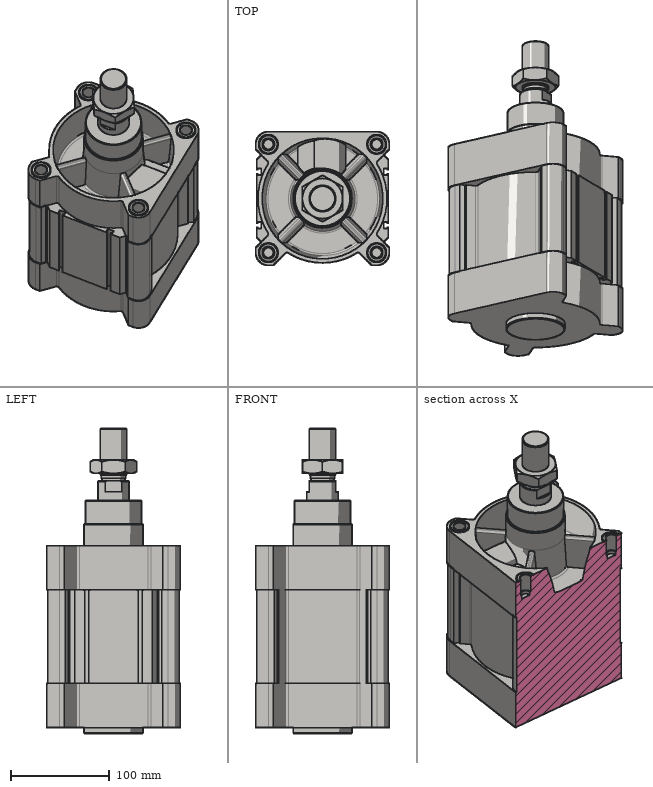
import cadquery as cq
import math

rear_boss_height = 6.0
cap_height = 45.0
barrel_height = 95.0
collar_height = 22.2
nose_height = 23.7
rod_flat_bottom = 245.5
rod_shoulder = 256.7
thread_start = 262.2
nut_bottom = 264.2
nut_height = 13.8
rod_end = 310.0

rear_cap_bottom = rear_boss_height
barrel_bottom = rear_cap_bottom + cap_height
barrel_top = barrel_bottom + barrel_height
head_top = barrel_top + cap_height
collar_top = head_top + collar_height
nose_top = collar_top + nose_height

cap_radius = 65.5
barrel_radius = 65.3
bolt_offset = 55.0
cap_half_width = 68.0
barrel_half_width = 67.0
lug_diagonal = 18.0
lug_root = 18.0
lug_fillet = 2.2
corners = [(sx, sy) for sx in (-1, 1) for sy in (-1, 1)]

groove_floor = 62.3
groove_edge = groove_floor - lug_diagonal
groove_floor_width = 1.7
rail_chamfer = barrel_half_width - groove_floor
rail_root = 40.0
slot_center = 27.1
slot_mouth = 3.9
slot_width = 6.4
slot_lip = 1.4
slot_depth = 4.8

boss_diameter = 60.0
nose_diameter = 57.0
boss_chamfer = 1.0
nose_chamfer = 0.7

pocket_depth = 37.0
pocket_floor = head_top - pocket_depth
pocket_top_radius = 61.3
pocket_floor_radius = 57.5
hub_floor_radius = 33.0
pocket_fillet = 2.0
rib_top_gap = 1.5
rib_top_half_width = 2.75
rib_foot_half_width = 6.0
rib_top_fillet = 2.2

port_boss_radius = 16.2
port_boss_x = 7.5
port_boss_z = head_top - 23.2
cushion_boss_radius = 14.5
cushion_boss_x = -10.7
cushion_boss_z = head_top - 35.5

screw_seat_diameter = 19.9
screw_face_diameter = 18.0
screw_groove_depth = 1.0
screw_sink_diameter = 12.8
screw_thread_diameter = 12.0
screw_thread_depth = 20.0
screw_pilot_diameter = 10.11
screw_pilot_depth = 24.0

rod_diameter = 32.0
rod_chamfer = 0.8
rod_flat_width = 27.0
thread_diameter = 27.0
thread_chamfer = 1.0
relief_diameter = 24.9
neck_diameter = 23.6
neck_height = 2.5
nut_width = 41.0
nut_face_diameter = 40.7
nut_chamfer_angle = 30.0


def cylinder(diameter, bottom, top):
    return cq.Workplane("XY").workplane(offset=bottom).circle(diameter / 2).extrude(top - bottom)


def place_in_corner(shape, sx, sy):
    """Mirror a shape made in the +X +Y corner into another corner."""
    if sx < 0:
        shape = shape.mirror("YZ")
    if sy < 0:
        shape = shape.mirror("XZ")
    return shape


def lug(half_width, flank, bottom, height):
    """Rounded corner lug; flank lists the points from its root to its outer flat."""
    radius = half_width - bolt_offset
    arc_middle = bolt_offset + radius * math.sqrt(0.5)
    outline = cq.Workplane("XY").workplane(offset=bottom).moveTo(*flank[0])
    for point in flank[1:]:
        outline = outline.lineTo(*point)
    outline = outline.lineTo(half_width, bolt_offset)
    outline = outline.threePointArc((arc_middle, arc_middle), (bolt_offset, half_width))
    for x, y in reversed(flank):
        outline = outline.lineTo(y, x)
    return outline.close().extrude(height)


def fillet_lug_roots(body, radius):
    """Round the inner corners between lug flanks and the round outline, wherever they are open."""
    near = (math.sqrt(2 * radius**2 - lug_diagonal**2) - lug_diagonal) / 2
    far = near + lug_diagonal
    reach = 0.1
    for sx, sy in corners:
        for x, y in ((sx * near, sy * far), (sx * far, sy * near)):
            box = cq.selectors.BoxSelector((x - reach, y - reach, 0), (x + reach, y + reach, head_top))
            root = body.edges("|Z").edges(box)
            if root.size() > 0:
                body = root.fillet(lug_fillet)
    return body


def cap(bottom):
    """End cap: round body, four lugs and a full-width flat on the +Y side."""
    body = cylinder(2 * cap_radius, bottom, bottom + cap_height)
    flank = [(lug_root + lug_diagonal, lug_root), (cap_half_width, cap_half_width - lug_diagonal)]
    corner = lug(cap_half_width, flank, bottom, cap_height)
    for sx, sy in corners:
        body = body.union(place_in_corner(corner, sx, sy))
    inner_y = lug_root + lug_diagonal
    port_side = (
        cq.Workplane("XY").workplane(offset=bottom)
        .polyline([
            (-lug_root, inner_y), (lug_root, inner_y),
            (bolt_offset, cap_half_width), (-bolt_offset, cap_half_width),
        ])
        .close().extrude(cap_height)
    )
    return fillet_lug_roots(body.union(port_side), cap_radius)


def barrel():
    """Profile tube: round body, grooved lugs and a slotted rail on each X side."""
    body = cylinder(2 * barrel_radius, barrel_bottom, barrel_top)
    flank = [
        (lug_root + lug_diagonal, lug_root),
        (groove_floor, groove_edge),
        (groove_floor, groove_edge + groove_floor_width),
        (barrel_half_width, barrel_half_width - lug_diagonal),
    ]
    corner = lug(barrel_half_width, flank, barrel_bottom, barrel_height)
    for sx, sy in corners:
        body = body.union(place_in_corner(corner, sx, sy))
    rail_face_end = groove_edge - rail_chamfer
    rail = (
        cq.Workplane("XY").workplane(offset=barrel_bottom)
        .polyline([
            (rail_root, -groove_edge), (groove_floor, -groove_edge), (barrel_half_width, -rail_face_end),
            (barrel_half_width, rail_face_end), (groove_floor, groove_edge), (rail_root, groove_edge),
        ])
        .close().extrude(barrel_height)
    )
    body = body.union(rail).union(rail.mirror("YZ"))
    body = fillet_lug_roots(body, barrel_radius)
    slot = sensor_slot()
    for sx, sy in corners:
        body = body.cut(place_in_corner(slot, sx, sy))
    return body


def sensor_slot():
    plane = cq.Workplane("XY").workplane(offset=barrel_bottom)
    mouth = (
        plane.center(barrel_half_width - slot_depth / 2, slot_center)
        .rect(slot_depth, slot_mouth).extrude(barrel_height)
    )
    inner_depth = slot_depth - slot_lip
    inner = (
        plane.center(barrel_half_width - slot_lip - inner_depth / 2, slot_center)
        .rect(inner_depth, slot_width).extrude(barrel_height)
    )
    return mouth.union(inner)


def pocket_rib():
    """Diagonal rib across the whole pocket, tapered, with rounded top edges."""
    top = head_top - rib_top_gap
    length = 2 * cap_radius
    return (
        cq.Workplane("XZ").workplane(offset=-length / 2)
        .polyline([
            (-rib_foot_half_width, pocket_floor), (-rib_top_half_width, top),
            (rib_top_half_width, top), (rib_foot_half_width, pocket_floor),
        ])
        .close().extrude(length)
        .faces(">Z").edges("|Y").fillet(rib_top_fillet)
    )


def cross_boss(radius, x, z):
    return cq.Workplane("XZ").center(x, z).circle(radius).extrude(-cap_radius)


def head_pocket():
    """Ring-shaped pocket with drafted walls, less the ribs and bosses left standing in it."""
    ring = (
        cq.Workplane("XZ")
        .polyline([
            (boss_diameter / 2, head_top), (pocket_top_radius, head_top),
            (pocket_floor_radius, pocket_floor), (hub_floor_radius, pocket_floor),
        ])
        .close().revolve(360, (0, 0, 0), (0, 1, 0))
        .faces("<Z").edges().fillet(pocket_fillet)
    )
    for angle in (45, 135):
        ring = ring.cut(pocket_rib().rotate((0, 0, 0), (0, 0, 1), angle))
    ring = ring.cut(cross_boss(port_boss_radius, port_boss_x, port_boss_z))
    return ring.cut(cross_boss(cushion_boss_radius, cushion_boss_x, cushion_boss_z))


def screw_recess():
    """V groove around a corner screw and the countersunk hole in its middle."""
    seat = screw_seat_diameter / 2
    groove = (
        cq.Workplane("XZ")
        .polyline([
            (screw_face_diameter / 2, head_top), (seat, head_top), (seat, head_top - screw_groove_depth),
        ])
        .close().revolve(360, (0, 0, 0), (0, 1, 0))
    )
    sink_depth = (screw_sink_diameter - screw_thread_diameter) / 2
    thread_hole = cylinder(screw_thread_diameter, head_top - screw_thread_depth, head_top)
    pilot_hole = cylinder(screw_pilot_diameter, head_top - screw_pilot_depth, head_top)
    sink = (
        cq.Workplane("XY").workplane(offset=head_top).circle(screw_sink_diameter / 2)
        .extrude(-sink_depth, taper=45)
    )
    hole = thread_hole.union(pilot_hole).union(sink)
    return groove.union(hole).translate((bolt_offset, bolt_offset, 0))


def make_housing():
    body = barrel().union(cap(rear_cap_bottom)).union(cap(barrel_top).cut(head_pocket()))
    recess = screw_recess()
    for sx, sy in corners:
        body = body.cut(place_in_corner(recess, sx, sy))
    rear_boss = cylinder(boss_diameter, 0, rear_cap_bottom).faces("<Z").chamfer(boss_chamfer)
    collar = cylinder(boss_diameter, head_top, collar_top).faces(">Z").chamfer(boss_chamfer)
    nose = cylinder(nose_diameter, collar_top, nose_top).faces(">Z").chamfer(nose_chamfer)
    body = body.union(rear_boss).union(collar).union(nose)
    return body.cut(cylinder(rod_diameter, barrel_top, nose_top))


def make_rod():
    shank = cylinder(rod_diameter, barrel_top, rod_shoulder).faces(">Z").chamfer(rod_chamfer)
    for side in (-1, 1):
        flat_center = side * (rod_flat_width + rod_diameter) / 2
        shank = shank.cut(
            cq.Workplane("XY").workplane(offset=rod_flat_bottom).center(flat_center, 0)
            .rect(rod_diameter, rod_diameter).extrude(rod_shoulder - rod_flat_bottom)
        )
    neck_top = rod_shoulder + neck_height
    neck = cylinder(neck_diameter, rod_shoulder, neck_top)
    relief = cylinder(relief_diameter, neck_top, thread_start)
    thread = cylinder(thread_diameter, thread_start, rod_end).faces("<Z or >Z").chamfer(thread_chamfer)
    return shank.union(neck).union(relief).union(thread)


def make_nut():
    """Hexagon nut with flats across X and both faces chamfered to a circle."""
    corner_radius = nut_width / math.sqrt(3)
    hexagon = (
        cq.Workplane("XY").workplane(offset=nut_bottom)
        .polygon(6, 2 * corner_radius).extrude(nut_height)
        .rotate((0, 0, 0), (0, 0, 1), 30)
    )
    face_radius = nut_face_diameter / 2
    drop = (corner_radius - face_radius) * math.tan(math.radians(nut_chamfer_angle))
    nut_top = nut_bottom + nut_height
    envelope = (
        cq.Workplane("XZ")
        .polyline([
            (0, nut_bottom), (face_radius, nut_bottom), (corner_radius, nut_bottom + drop),
            (corner_radius, nut_top - drop), (face_radius, nut_top), (0, nut_top),
        ])
        .close().revolve(360, (0, 0, 0), (0, 1, 0))
    )
    return hexagon.intersect(envelope).cut(cylinder(thread_diameter, nut_bottom, nut_top))


housing = make_housing()
rod = make_rod()
nut = make_nut()

result = cq.Compound.makeCompound([housing.val(), rod.val(), nut.val()])